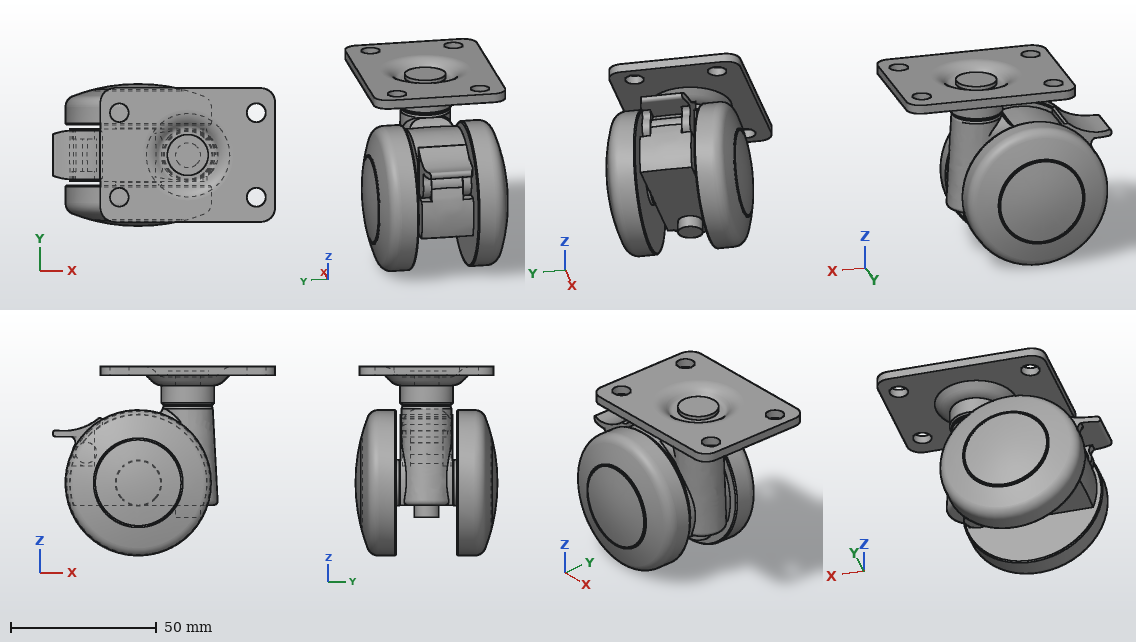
import cadquery as cq
import math


overall_length = 76.25
overall_height = 65.0

plate_length = 59.9
plate_width = 46.0
plate_thickness = 3.1
plate_corner_radius = 4.95
hole_diameter = 6.4
hole_spacing_x = 47.0
hole_spacing_y = 29.0
dish_rim_radius = 15.55
dish_rim_round = 6.25
dish_floor_radius = 8.6
dish_floor_round = 2.1
dish_depth = 3.5

pin_radius = 4.3
pin_bottom_z = -51.8
head_radius = 7.0
head_top_z = -1.5
head_bottom_z = -2.9
collar_radius = 9.15
collar_length = 6.5
collar_top_round = 0.4
collar_bottom_chamfer = 0.6
neck_radius = 8.6
neck_top_z = -13.7
neck_top_chamfer = 0.3
waist_radius = 8.15

column_top_z = -14.6
column_lean = 1.75
column_bottom_round = 1.5
housing_bottom_z = -47.65

wheel_x = -17.0
wheel_radius = 25.0
wheel_z = wheel_radius - overall_height
wheel_inner_y = 10.4
tread_end_y = 16.5
tread_bend_radius = 24.4
tread_bend_y = 18.6
shoulder_y = 20.2
shoulder_radius = 22.4
wheel_outer_y = 24.4
inner_edge_round = 0.45
hub_radius = 7.9
hub_inner_y = 9.4
groove_outer_radius = 15.3
groove_width = 0.6
groove_depth = 0.4

drum_edge_radius = 23.4
drum_crown = 0.2
drum_half_width = 9.0
boss_radius = 7.6

fairing_half_width = 8.3
fairing_side_top_z = -19.8
fairing_flat_half_width = 3.35
fairing_bend_y = 6.8
fairing_bend_z = -16.25
fairing_slope_x = -9.6
fairing_slope_z = -16.1
fairing_front_x = -13.0
fairing_front_z = -17.5

lever_half_width = 8.4
lever_tip_x = plate_length / 2 - overall_length
lever_tip_half_width = 7.1
tab_mid_half_width = 8.1
tab_root_x = -39.8
tab_tip_z = -21.7
tab_mid_x = -38.1
tab_mid_z = -21.6
tab_bottom_z = -24.2
tab_edge_round = 1.1
crest_x = -30.3
crest_z = -17.6
lever_end_x = -29.3
lever_end_z = -18.1
lever_corner_round = 1.1
pivot_x = -34.9
pivot_z = -29.6
pivot_bar_radius = 3.6
leg_radius = 4.6
leg_round_top_z = -27.15
leg_fillet_x = -38.9
leg_fillet_z = -25.1
leg_inner_y = 5.5
notch_back_x = -32.0
notch_bottom_z = pivot_z - leg_radius
notch_top_z = -19.1

collar_top_z = -(dish_depth + plate_thickness)
collar_bottom_z = collar_top_z - collar_length


def revolved(profile):
    """Revolve an XZ profile about the swivel axis."""
    return profile.close().revolve(360, (0, 0, 0), (0, 1, 0))


def along_y(profile, y_start, y_end):
    """Extrude an XZ profile between two Y positions."""
    return profile.extrude(y_start - y_end).translate((0, y_start, 0))


def about_wheel_axis(profile):
    """Revolve an XY profile, X being radius and Y the axis, and place it on the wheel axis."""
    return profile.revolve(360, (0, 0, 0), (0, 1, 0)).translate((wheel_x, 0, wheel_z))


def make_plate():
    slope = math.radians(45)
    floor_bend_x = dish_floor_radius + dish_floor_round * math.sin(slope)
    floor_bend_z = -dish_depth + dish_floor_round * (1 - math.cos(slope))
    rim_bend_x = dish_rim_radius - dish_rim_round * math.sin(slope)
    rim_bend_z = -dish_rim_round * (1 - math.cos(slope))
    half_slope = slope / 2
    under_round = dish_floor_round + plate_thickness
    under_bend_x = dish_floor_radius + under_round * math.sin(slope)
    under_bend_z = -dish_depth + dish_floor_round - under_round * math.cos(slope)
    under_rim_x = under_bend_x + (-plate_thickness - under_bend_z)

    dish_hollow = revolved(
        cq.Workplane("XZ")
        .moveTo(0, 0)
        .lineTo(dish_rim_radius, 0)
        .threePointArc(
            (dish_rim_radius - dish_rim_round * math.sin(half_slope),
             -dish_rim_round * (1 - math.cos(half_slope))),
            (rim_bend_x, rim_bend_z),
        )
        .lineTo(floor_bend_x, floor_bend_z)
        .threePointArc(
            (dish_floor_radius + dish_floor_round * math.sin(half_slope),
             -dish_depth + dish_floor_round * (1 - math.cos(half_slope))),
            (dish_floor_radius, -dish_depth),
        )
        .lineTo(0, -dish_depth)
    )
    dish_underside = revolved(
        cq.Workplane("XZ")
        .moveTo(0, -plate_thickness)
        .lineTo(under_rim_x, -plate_thickness)
        .lineTo(under_bend_x, under_bend_z)
        .threePointArc(
            (dish_floor_radius + under_round * math.sin(half_slope),
             -dish_depth + dish_floor_round - under_round * math.cos(half_slope)),
            (dish_floor_radius, collar_top_z),
        )
        .lineTo(0, collar_top_z)
    )
    flat = (
        cq.Workplane("XY")
        .workplane(offset=-plate_thickness)
        .rect(plate_length, plate_width)
        .extrude(plate_thickness)
        .edges("|Z")
        .fillet(plate_corner_radius)
        .faces(">Z")
        .workplane()
        .rarray(hole_spacing_x, hole_spacing_y, 2, 2)
        .hole(hole_diameter)
    )
    pin_hole = cq.Workplane("XY").circle(pin_radius).extrude(collar_top_z)
    return flat.union(dish_underside).cut(dish_hollow).cut(pin_hole)


def make_kingpin():
    """Pin with its head, the collar under the plate and the waist down to the column."""
    return revolved(
        cq.Workplane("XZ")
        .moveTo(0, head_top_z)
        .lineTo(head_radius, head_top_z)
        .lineTo(head_radius, head_bottom_z)
        .lineTo(pin_radius, head_bottom_z)
        .lineTo(pin_radius, collar_top_z)
        .lineTo(collar_radius - collar_top_round, collar_top_z)
        .radiusArc((collar_radius, collar_top_z - collar_top_round), collar_top_round)
        .lineTo(collar_radius, collar_bottom_z + collar_bottom_chamfer)
        .lineTo(collar_radius - collar_bottom_chamfer, collar_bottom_z)
        .lineTo(waist_radius, collar_bottom_z)
        .lineTo(waist_radius, neck_top_z)
        .lineTo(neck_radius - neck_top_chamfer, neck_top_z)
        .lineTo(neck_radius, column_top_z)
        .lineTo(pin_radius, column_top_z)
        .lineTo(pin_radius, pin_bottom_z)
        .lineTo(0, pin_bottom_z)
    )


def half_disc(workplane, centre_x, side):
    """Half of the column section; side = 1 is its +X half."""
    return (
        workplane.moveTo(centre_x, -neck_radius)
        .threePointArc((centre_x + side * neck_radius, 0), (centre_x, neck_radius))
        .close()
    )


def make_column():
    """Upright front half, leaning back half, and flat flanks that join the two."""
    height = column_top_z - housing_bottom_z
    foot = cq.Workplane("XY", origin=(0, 0, housing_bottom_z))
    front = half_disc(foot, 0, -1).extrude(height)
    back = half_disc(half_disc(foot, column_lean, 1).workplane(offset=height), 0, 1).loft(ruled=True)
    back = back.faces("<Z").edges("%CIRCLE").fillet(column_bottom_round)
    flank_outline = (
        cq.Workplane("XZ")
        .moveTo(0, column_top_z)
        .lineTo(0, housing_bottom_z)
        .lineTo(column_lean, housing_bottom_z)
        .close()
    )
    flanks = along_y(flank_outline, -neck_radius, neck_radius)
    return front.union(flanks).union(back)


def make_fairing():
    """Rounded web that spreads from the neck onto the drum."""
    section = (
        cq.Workplane("YZ")
        .moveTo(-fairing_half_width, wheel_z)
        .lineTo(-fairing_half_width, fairing_side_top_z)
        .threePointArc((-fairing_bend_y, fairing_bend_z), (-fairing_flat_half_width, column_top_z))
        .lineTo(fairing_flat_half_width, column_top_z)
        .threePointArc((fairing_bend_y, fairing_bend_z), (fairing_half_width, fairing_side_top_z))
        .lineTo(fairing_half_width, wheel_z)
        .close()
        .extrude(fairing_front_x)
    )
    hollow_slope = (
        cq.Workplane("XZ")
        .moveTo(0, column_top_z)
        .lineTo(-neck_radius, column_top_z)
        .threePointArc((fairing_slope_x, fairing_slope_z), (fairing_front_x, fairing_front_z))
        .lineTo(fairing_front_x, wheel_z)
        .lineTo(0, wheel_z)
        .close()
    )
    side = along_y(hollow_slope, -fairing_half_width, fairing_half_width)
    return section.intersect(side)


def make_drum():
    crowned = about_wheel_axis(
        cq.Workplane("XY")
        .moveTo(0, -drum_half_width)
        .lineTo(drum_edge_radius, -drum_half_width)
        .threePointArc((drum_edge_radius + drum_crown, 0), (drum_edge_radius, drum_half_width))
        .lineTo(0, drum_half_width)
        .close()
    )
    boss_outline = cq.Workplane("XZ").center(wheel_x, wheel_z).circle(boss_radius)
    bosses = along_y(boss_outline, -hub_inner_y, hub_inner_y)
    return crowned.union(bosses)


def pivot_bar():
    """Round bar between the lever legs."""
    outline = cq.Workplane("XZ").center(pivot_x, pivot_z).circle(pivot_bar_radius)
    return along_y(outline, -leg_inner_y, leg_inner_y)


def make_housing():
    body = make_kingpin().union(make_column()).union(make_fairing())
    drum = make_drum()
    below = (
        cq.Workplane("XY", origin=(wheel_x, 0, housing_bottom_z))
        .rect(2 * wheel_radius, 2 * wheel_radius)
        .extrude(-wheel_radius)
    )
    drum = drum.cut(below)
    notch_depth = notch_back_x - (wheel_x - wheel_radius)
    notch_width = drum_half_width - leg_inner_y
    for side in (-1, 1):
        notch_centre_y = side * (leg_inner_y + notch_width / 2)
        notch = (
            cq.Workplane("XY", origin=(notch_back_x - notch_depth / 2, notch_centre_y, notch_bottom_z))
            .rect(notch_depth, notch_width)
            .extrude(notch_top_z - notch_bottom_z)
        )
        drum = drum.cut(notch)
    return body.union(drum).cut(pivot_bar())


def make_lever(housing):
    cover_outline = (
        cq.Workplane("XZ")
        .moveTo(lever_tip_x, tab_bottom_z)
        .lineTo(lever_tip_x, tab_tip_z)
        .threePointArc((tab_mid_x, tab_mid_z), (crest_x, crest_z))
        .lineTo(lever_end_x, lever_end_z)
        .lineTo(lever_end_x, tab_bottom_z)
        .close()
    )
    cover = along_y(cover_outline, -lever_half_width, lever_half_width)
    cover = cover.edges("<X").fillet(tab_edge_round)
    cover = cover.faces(">X").edges("|Z").fillet(lever_corner_round)
    mid_x = (lever_tip_x + tab_root_x) / 2
    plan = (
        cq.Workplane("XY", origin=(0, 0, notch_bottom_z))
        .moveTo(lever_tip_x, -lever_tip_half_width)
        .threePointArc((mid_x, -tab_mid_half_width), (tab_root_x, -lever_half_width))
        .lineTo(lever_end_x, -lever_half_width)
        .lineTo(lever_end_x, lever_half_width)
        .lineTo(tab_root_x, lever_half_width)
        .threePointArc((mid_x, tab_mid_half_width), (lever_tip_x, lever_tip_half_width))
        .close()
        .extrude(-notch_bottom_z)
    )
    lever = cover.intersect(plan).union(pivot_bar())
    leg_round_top_x = pivot_x - math.sqrt(leg_radius**2 - (leg_round_top_z - pivot_z) ** 2)
    for y_start in (-lever_half_width, leg_inner_y):
        leg_outline = (
            cq.Workplane("XZ")
            .moveTo(tab_root_x, tab_bottom_z)
            .threePointArc((leg_fillet_x, leg_fillet_z), (leg_round_top_x, leg_round_top_z))
            .threePointArc((pivot_x - leg_radius, pivot_z), (pivot_x, notch_bottom_z))
            .lineTo(notch_back_x, notch_bottom_z)
            .lineTo(notch_back_x, tab_bottom_z)
            .close()
        )
        lever = lever.union(along_y(leg_outline, y_start, y_start + lever_half_width - leg_inner_y))
    return lever.cut(housing)


def make_wheel(side):
    """One wheel, on the +Y side for side = 1 and on the -Y side for side = -1."""
    rise = wheel_outer_y - shoulder_y
    dome_radius = (shoulder_radius**2 + rise**2) / (2 * rise)
    dome_centre_y = wheel_outer_y - dome_radius

    def dome_y(radius):
        return dome_centre_y + math.sqrt(dome_radius**2 - radius**2)

    groove_inner_radius = groove_outer_radius - groove_width
    groove_floor_y = dome_y(groove_outer_radius) - groove_depth
    rim_mid_radius = (shoulder_radius + groove_outer_radius) / 2
    cap_mid_radius = groove_inner_radius / 2
    profile = (
        cq.Workplane("XY")
        .moveTo(0, hub_inner_y)
        .lineTo(hub_radius, hub_inner_y)
        .lineTo(hub_radius, wheel_inner_y)
        .lineTo(wheel_radius - inner_edge_round, wheel_inner_y)
        .lineTo(wheel_radius, wheel_inner_y + inner_edge_round)
        .lineTo(wheel_radius, tread_end_y)
        .threePointArc((tread_bend_radius, tread_bend_y), (shoulder_radius, shoulder_y))
        .threePointArc(
            (rim_mid_radius, dome_y(rim_mid_radius)),
            (groove_outer_radius, dome_y(groove_outer_radius)),
        )
        .lineTo(groove_outer_radius, groove_floor_y)
        .lineTo(groove_inner_radius, groove_floor_y)
        .lineTo(groove_inner_radius, dome_y(groove_inner_radius))
        .threePointArc((cap_mid_radius, dome_y(cap_mid_radius)), (0, wheel_outer_y))
        .close()
    )
    wheel = about_wheel_axis(profile)
    return wheel if side > 0 else wheel.mirror("XZ")


plate = make_plate()
housing = make_housing()
lever = make_lever(housing)
wheels = [make_wheel(side) for side in (-1, 1)]

result = cq.Compound.makeCompound(
    [plate.val(), housing.val(), lever.val(), *[wheel.val() for wheel in wheels]]
)